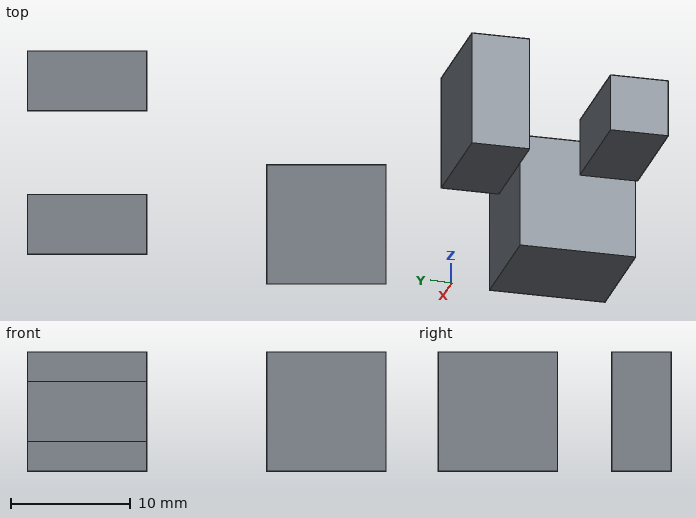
import cadquery as cq

overall_length = 30.0
overall_width = 19.5

cube_side = overall_length / 3
half_side = cube_side / 2

cube_x = overall_length - cube_side
plate_y = overall_width - half_side - half_side / 2


def make_cube():
    """Full cube, one cube side clear of the other bodies along X."""
    return cq.Workplane("XY").box(cube_side, cube_side, cube_side).translate((cube_x, 0, 0))


def make_bar():
    """Square bar, half the cube in width and height, in line with the cube."""
    return cq.Workplane("XY").box(cube_side, half_side, half_side)


def make_plate():
    """Full-height plate of half the cube's width, standing behind the bar."""
    return cq.Workplane("XY").box(cube_side, half_side, cube_side).translate((0, plate_y, 0))


cube = make_cube()
bar = make_bar()
plate = make_plate()

result = cq.Compound.makeCompound([cube.val(), bar.val(), plate.val()])